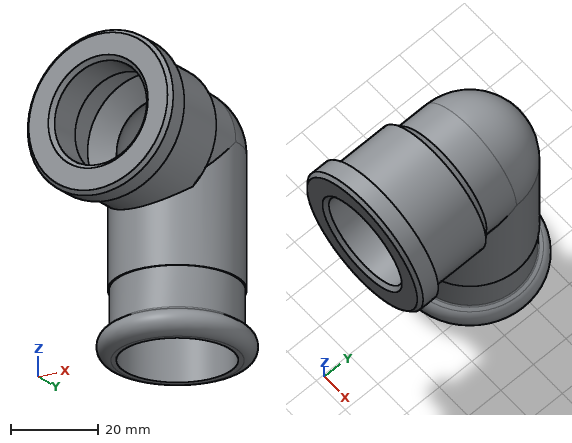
import cadquery as cq
import math


axis_height = 50.5

tube_radius = 16.0
bore_radius = 14.0

neck_radius = 15.65
neck_top = 17.3
bead_outer_radius = 18.6
bead_round = 3.3
bead_slope = math.radians(28)
bead_fillet = 0.5

port_length = 33.1
socket_radius = 18.0
socket_shoulder = 9.1
collar_radius = 20.0
collar_start = 27.5
collar_chamfer = 0.95

port_bore_radius = 12.65
port_mouth_radius = 13.7
groove_radius = 15.8
groove_outer_end = 23.5
groove_outer_slope = math.radians(43)
groove_inner_end = 13.45
inner_cone_slope = math.radians(46)


def revolve_about_z(profile):
    """Revolve a closed (radius, height) profile drawn on the XZ plane about the Z axis."""
    return profile.close().revolve(360, (0, 0, 0), (0, 1, 0))


def revolve_about_port(profile):
    """Revolve a (radius, distance) profile about Z, then lay it along -Y at the elbow height."""
    solid = revolve_about_z(profile)
    return solid.rotate((0, 0, 0), (1, 0, 0), 90).translate((0, 0, axis_height))


def elbow_ball(radius):
    """Sphere that rounds the corner where the two legs meet."""
    return cq.Workplane("XY").sphere(radius).translate((0, 0, axis_height))


def vertical_leg():
    """Tube with a narrower neck and a bead: half round, sloping shoulder, small root fillet."""
    bead_center = bead_outer_radius - bead_round
    shoulder_radius = bead_center + bead_round * math.sin(bead_slope)
    shoulder_height = bead_round * (1 + math.cos(bead_slope))

    fillet_center_radius = neck_radius + bead_fillet
    fillet_start_radius = fillet_center_radius - bead_fillet * math.sin(bead_slope)
    fillet_start_height = shoulder_height + (shoulder_radius - fillet_start_radius) * math.tan(bead_slope)
    fillet_end_height = fillet_start_height + bead_fillet * math.cos(bead_slope)
    mid_angle = bead_slope / 2 + math.pi / 4
    fillet_mid = (
        fillet_center_radius - bead_fillet * math.sin(mid_angle),
        fillet_end_height - bead_fillet * math.cos(mid_angle),
    )

    profile = (
        cq.Workplane("XZ")
        .lineTo(bead_center, 0)
        .threePointArc((bead_outer_radius, bead_round), (shoulder_radius, shoulder_height))
        .lineTo(fillet_start_radius, fillet_start_height)
        .threePointArc(fillet_mid, (neck_radius, fillet_end_height))
        .lineTo(neck_radius, neck_top)
        .lineTo(tube_radius, neck_top)
        .lineTo(tube_radius, axis_height)
        .lineTo(0, axis_height)
    )
    return revolve_about_z(profile)


def horizontal_leg():
    """Tube that widens through a 45 degree shoulder to a socket with an end collar."""
    shoulder_end = socket_shoulder + socket_radius - tube_radius
    profile = (
        cq.Workplane("XZ")
        .lineTo(tube_radius, 0)
        .lineTo(tube_radius, socket_shoulder)
        .lineTo(socket_radius, shoulder_end)
        .lineTo(socket_radius, collar_start)
        .lineTo(collar_radius, collar_start)
        .lineTo(collar_radius, port_length - collar_chamfer)
        .lineTo(collar_radius - collar_chamfer, port_length)
        .lineTo(0, port_length)
    )
    return revolve_about_port(profile)


def vertical_bore():
    """Straight bore, open at the lower end."""
    return cq.Workplane("XY").circle(bore_radius).extrude(axis_height)


def horizontal_bore():
    """Chamfered bore with a relief groove, closing in a cone that breaks into the vertical bore."""
    mouth_start = port_length - (port_mouth_radius - port_bore_radius)
    groove_depth = groove_radius - port_bore_radius
    groove_floor_end = groove_outer_end - groove_depth / math.tan(groove_outer_slope)
    cone_tip = groove_inner_end - groove_radius / math.tan(inner_cone_slope)
    profile = (
        cq.Workplane("XZ")
        .moveTo(0, cone_tip)
        .lineTo(groove_radius, groove_inner_end)
        .lineTo(groove_radius, groove_floor_end)
        .lineTo(port_bore_radius, groove_outer_end)
        .lineTo(port_bore_radius, mouth_start)
        .lineTo(port_mouth_radius, port_length)
        .lineTo(0, port_length)
    )
    return revolve_about_port(profile)


outer_body = vertical_leg().union(horizontal_leg()).union(elbow_ball(tube_radius))
inner_passage = vertical_bore().union(horizontal_bore()).union(elbow_ball(bore_radius))

result = outer_body.cut(inner_passage)